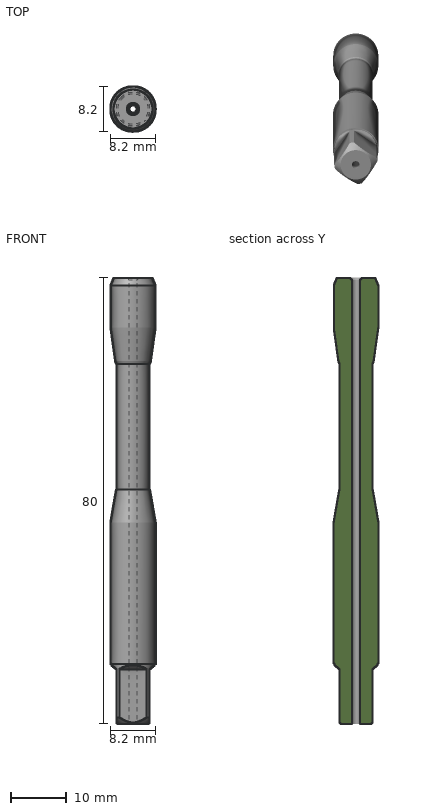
import cadquery as cq

length = 80.0
tip_chamfer_height = 1.2
flat_top = 9.8
runout_height = 0.9
shank_bottom = 10.8
shank_top = 36.1
shank_cone_height = 5.8
lower_step_height = 0.2
upper_step_height = 0.5
head_height = 9.0
head_cone_height = 6.0
head_chamfer_height = 1.4

shank_diameter = 8.2
head_diameter = 8.1
head_face_diameter = 7.0
neck_diameter = 6.0
shank_cone_small_diameter = 6.2
head_cone_small_diameter = 6.4
drive_diameter = 7.8
tip_diameter = 5.4
bore_diameter = 1.4
countersink_diameter = 2.2

square_width = 6.0
countersink_angle = 90


def turned_body():
    """Revolve the stepped outline, with short steep cones at both ends of the neck."""
    neck_radius = neck_diameter / 2
    lower_cone_top = shank_top + shank_cone_height
    head_bottom = length - head_height
    upper_cone_bottom = head_bottom - head_cone_height
    return (
        cq.Workplane("XZ")
        .lineTo(tip_diameter / 2, 0)
        .lineTo(drive_diameter / 2, tip_chamfer_height)
        .lineTo(drive_diameter / 2, shank_bottom)
        .lineTo(shank_diameter / 2, shank_bottom)
        .lineTo(shank_diameter / 2, shank_top)
        .lineTo(shank_cone_small_diameter / 2, lower_cone_top)
        .lineTo(neck_radius, lower_cone_top + lower_step_height)
        .lineTo(neck_radius, upper_cone_bottom - upper_step_height)
        .lineTo(head_cone_small_diameter / 2, upper_cone_bottom)
        .lineTo(head_diameter / 2, head_bottom)
        .lineTo(head_diameter / 2, length - head_chamfer_height)
        .lineTo(head_face_diameter / 2, length)
        .lineTo(0, length)
        .close()
        .revolve(360, (0, 0, 0), (0, 1, 0))
    )


def flat_cutter(angle):
    """Material outside one drive flat, closed at the top by a sloping run-out."""
    inner = square_width / 2
    outer = shank_diameter / 2
    return (
        cq.Workplane("XZ")
        .polyline([(inner, 0), (outer, 0), (outer, flat_top + runout_height), (inner, flat_top)])
        .close()
        .extrude(shank_diameter / 2, both=True)
        .rotate((0, 0, 0), (0, 0, 1), angle)
    )


body = turned_body()
for side in range(4):
    body = body.cut(flat_cutter(90 * side))

result = body.faces(">Z").workplane().cskHole(
    bore_diameter, countersink_diameter, countersink_angle
)